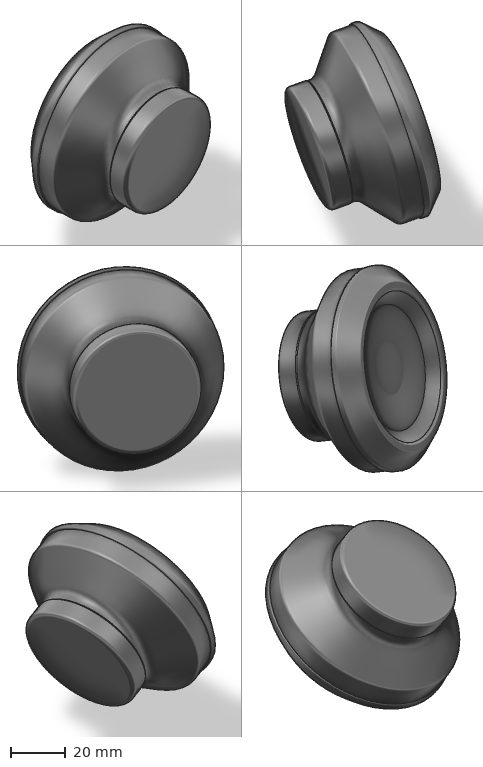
import cadquery as cq
import math

length = 40.0
ring_back = 9.1
shoulder_start = 16.2
neck_end = 31.7
stem_start = 32.1

ring_radius = 38.05
ring_bevel = math.radians(45)
ring_face_outer_radius = 31.1
ring_face_inner_radius = 29.2
rim_outer_round = 0.7
ring_crest_round = 0.9
ring_back_round = 0.45
rim_inner_round = 0.8

plug_radius = 28.0
dish_radius = 23.4
dish_edge_depth = 4.6
dish_center_radius = 9.9
dish_center_depth = 6.2

body_radius = 75.0 / 2
neck_radius = 47.6 / 2
stem_radius = 48.0 / 2
taper = math.radians(50)
shoulder_round = 2.0
neck_round = 4.7
stem_end_round = 1.6


def on_arc(center, radius, angle):
    """Point on a circle; the angle is measured from +X toward larger radius."""
    return (center[0] + radius * math.cos(angle), center[1] + radius * math.sin(angle))


def revolve_about_x(outline):
    return outline.close().revolve(360, (0, 0, 0), (1, 0, 0))


def find_inner_wall():
    """Conical wall shared flush by ring and plug: it leaves the rim round tangentially and ends at
    the edge of the dish floor. Gives its start, the angle of that start on the round, and the
    point where it passes from the ring to the plug."""
    inner_center = (rim_inner_round, ring_face_inner_radius)
    wall_reach = math.dist(inner_center, (dish_edge_depth, dish_radius))
    wall_heading = math.atan2(dish_radius - inner_center[1], dish_edge_depth - inner_center[0])
    start_angle = wall_heading - math.acos(rim_inner_round / wall_reach) + 2 * math.pi
    start = on_arc(inner_center, rim_inner_round, start_angle)
    plug_share = (start[1] - plug_radius) / (start[1] - dish_radius)
    plug_rim_x = start[0] + plug_share * (dish_edge_depth - start[0])
    return start, start_angle, (plug_rim_x, plug_radius)


def make_ring(wall_start, wall_start_angle, plug_rim):
    right_angle = math.pi / 2
    bevel_normal = right_angle + ring_bevel
    rim_center = (rim_outer_round, ring_face_outer_radius)
    rim_end = on_arc(rim_center, rim_outer_round, bevel_normal)
    rim_middle = on_arc(rim_center, rim_outer_round, (math.pi + bevel_normal) / 2)

    crest_center_radius = ring_radius - ring_crest_round
    bevel_top_radius = on_arc((0, crest_center_radius), ring_crest_round, bevel_normal)[1]
    bevel_top_x = rim_end[0] + (bevel_top_radius - rim_end[1]) / math.tan(ring_bevel)
    crest_center = (bevel_top_x + ring_crest_round * math.sin(ring_bevel), crest_center_radius)
    crest_middle = on_arc(crest_center, ring_crest_round, (bevel_normal + right_angle) / 2)

    back_center = (ring_back - ring_back_round, ring_radius - ring_back_round)

    inner_center = (rim_inner_round, ring_face_inner_radius)
    inner_middle = on_arc(inner_center, rim_inner_round, (math.pi + wall_start_angle) / 2)

    return revolve_about_x(
        cq.Workplane("XY")
        .moveTo(0, ring_face_inner_radius)
        .lineTo(0, ring_face_outer_radius)
        .threePointArc(rim_middle, rim_end)
        .lineTo(bevel_top_x, bevel_top_radius)
        .threePointArc(crest_middle, (crest_center[0], ring_radius))
        .lineTo(back_center[0], ring_radius)
        .threePointArc(on_arc(back_center, ring_back_round, right_angle / 2), (ring_back, back_center[1]))
        .lineTo(ring_back, plug_radius)
        .lineTo(*plug_rim)
        .lineTo(*wall_start)
        .threePointArc(inner_middle, (0, ring_face_inner_radius))
    )


def make_knob(plug_rim):
    right_angle = math.pi / 2
    cone_normal = right_angle - taper
    shoulder_center = (shoulder_start, body_radius - shoulder_round)
    shoulder_end = on_arc(shoulder_center, shoulder_round, cone_normal)
    shoulder_middle = on_arc(shoulder_center, shoulder_round, right_angle - taper / 2)

    neck_center_radius = neck_radius + neck_round
    cone_end_radius = neck_center_radius - neck_round * math.cos(taper)
    cone_end_x = shoulder_end[0] + (shoulder_end[1] - cone_end_radius) / math.tan(taper)
    neck_center = (cone_end_x + neck_round * math.sin(taper), neck_center_radius)
    neck_middle = on_arc(neck_center, neck_round, -right_angle - taper / 2)

    end_center = (length - stem_end_round, stem_radius - stem_end_round)
    end_middle = on_arc(end_center, stem_end_round, right_angle / 2)

    return revolve_about_x(
        cq.Workplane("XY")
        .moveTo(dish_center_depth, 0)
        .lineTo(dish_center_depth, dish_center_radius)
        .lineTo(dish_edge_depth, dish_radius)
        .lineTo(*plug_rim)
        .lineTo(ring_back, plug_radius)
        .lineTo(ring_back, body_radius)
        .lineTo(shoulder_start, body_radius)
        .threePointArc(shoulder_middle, shoulder_end)
        .lineTo(cone_end_x, cone_end_radius)
        .threePointArc(neck_middle, (neck_center[0], neck_radius))
        .lineTo(neck_end, neck_radius)
        .lineTo(stem_start, stem_radius)
        .lineTo(end_center[0], stem_radius)
        .threePointArc(end_middle, (length, end_center[1]))
        .lineTo(length, 0)
    )


wall_start, wall_start_angle, plug_rim = find_inner_wall()
ring = make_ring(wall_start, wall_start_angle, plug_rim)
knob = make_knob(plug_rim)

result = cq.Compound.makeCompound([ring.val(), knob.val()])